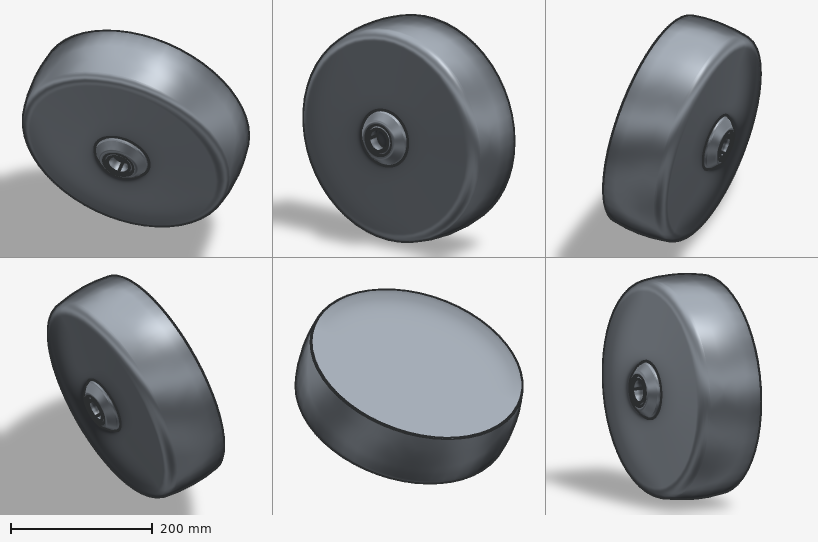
import cadquery as cq

full_turn = 360

tread_radius = 159.5
tread_edge_radius = 155.7
back_radius = 154.0
back_chamfer = 1.5
shoulder_y = -82.3
shoulder_mid_radius = 151.0
shoulder_mid_y = -92.0
disc_radius = 139.5
disc_edge_y = -96.5
disc_inner_y = -100.2
tread_mid_y = (shoulder_y - back_chamfer) / 2

bush_radius = 41.8
collar_root_radius = 40.2
collar_radius = 39.3
collar_y = -103.7
cone_radius = 38.3
cone_y = -105.3
nose_radius = 29.5
nose_mid_radius = 27.5
nose_mid_y = -115.2
nose_y = -114.0
front_y = -115.5
face_radius = 25.5
bush_depth = 32.0
bush_back_y = disc_inner_y + bush_depth

bore_radius = 43.7 / 2
bore_mouth_radius = 46.0 / 2
mouth_chamfer = bore_mouth_radius - bore_radius
rim_radius = 17.5
socket_radius = 16.0
rim_y = -115.0
rim_cone_slope = 0.8
rim_cone_y = rim_y + (bore_radius - rim_radius) * rim_cone_slope
socket_depth = 18.5
socket_floor_y = rim_y + socket_depth
groove_count = 4
groove_width = 2.0
groove_radius = 17.0


def revolve(profile):
    """Turn a closed (radius, y) profile a full turn about the Y axis."""
    return profile.close().revolve(full_turn, (0, 0, 0), (0, 1, 0))


def make_wheel():
    profile = (
        cq.Workplane("XY")
        .lineTo(back_radius, 0)
        .lineTo(tread_edge_radius, -back_chamfer)
        .threePointArc((tread_radius, tread_mid_y), (tread_edge_radius, shoulder_y))
        .threePointArc((shoulder_mid_radius, shoulder_mid_y), (disc_radius, disc_edge_y))
        .lineTo(bush_radius, disc_inner_y)
        .lineTo(bush_radius, bush_back_y)
        .lineTo(0, bush_back_y)
    )
    return revolve(profile)


def make_bush():
    profile = (
        cq.Workplane("XY")
        .moveTo(bore_radius, bush_back_y)
        .lineTo(bush_radius, bush_back_y)
        .lineTo(bush_radius, disc_inner_y)
        .lineTo(collar_root_radius, disc_inner_y)
        .lineTo(collar_radius, collar_y)
        .lineTo(cone_radius, cone_y)
        .lineTo(nose_radius, nose_y)
        .threePointArc((nose_mid_radius, nose_mid_y), (face_radius, front_y))
        .lineTo(bore_mouth_radius, front_y)
        .lineTo(bore_radius, front_y + mouth_chamfer)
    )
    return revolve(profile)


def make_groove(angle):
    """Cutter for one lengthwise groove in the socket wall, from rim to floor."""
    groove = cq.Workplane("XY").box(
        groove_radius, socket_depth, groove_width, centered=(False, False, True)
    )
    return groove.translate((0, rim_y, 0)).rotate((0, 0, 0), (0, 1, 0), angle)


def make_spindle():
    profile = (
        cq.Workplane("XY")
        .moveTo(0, bush_back_y)
        .lineTo(bore_radius, bush_back_y)
        .lineTo(bore_radius, rim_cone_y)
        .lineTo(rim_radius, rim_y)
        .lineTo(socket_radius, rim_y)
        .lineTo(socket_radius, socket_floor_y)
        .lineTo(0, socket_floor_y)
    )
    spindle = revolve(profile)
    for index in range(groove_count):
        spindle = spindle.cut(make_groove(index * full_turn / groove_count))
    return spindle


wheel = make_wheel()
bush = make_bush()
spindle = make_spindle()
result = cq.Compound.makeCompound([wheel.val(), bush.val(), spindle.val()])